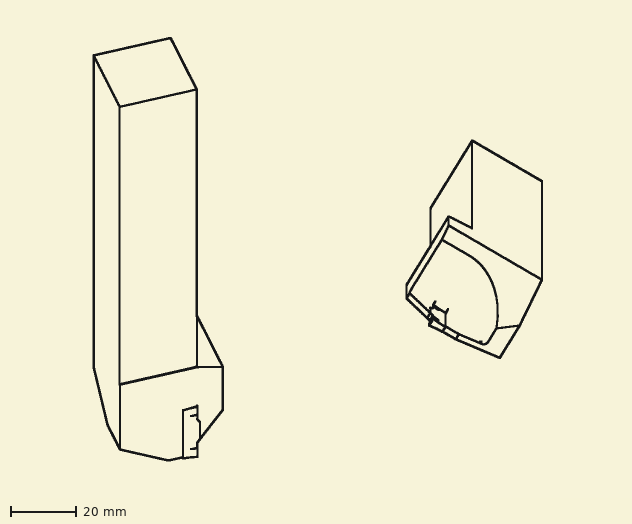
import cadquery as cq
import math

total_height = 151.35
shank_size = 25.0
head_depth = 33.4
head_offset = 0.24
head_side = shank_size + head_offset

shelf_top = 36.8
shelf_angle = 15.0

slant_top = 22.6
slant_angle = 43.5
front_corner = 10.0
front_angle = 30.0
back_corner = 16.8
blade_foot_height = 0.9

blade_thickness = 1.9
blade_face = head_side - blade_thickness
recess_radius = 18.6
recess_center_y = 23.6
recess_center_z = 0.1
recess_fillet = 1.5

insert_length = 20.7
insert_seat_y = 20.5
cutting_edge_y = 25.1
insert_back_y = 26.0
rake_floor_length = 5.5
rake_ramp_length = 1.4
end_relief_angle = 5.0
tip_length = 3.5
tip_overhang = 0.30
tip_depth = 2.8
tip_back_taper = 0.72


def tan(angle):
    return math.tan(math.radians(angle))


def make_insert_outline():
    """Closed side outline of the insert, raised between its two rake floors."""
    end_rise = (cutting_edge_y - insert_seat_y) * tan(end_relief_angle)
    ramp_end = rake_floor_length + rake_ramp_length
    outline = [
        (insert_seat_y, end_rise),
        (cutting_edge_y, 0),
        (cutting_edge_y, rake_floor_length),
        (insert_back_y, ramp_end),
        (insert_back_y, insert_length - ramp_end),
        (cutting_edge_y, insert_length - rake_floor_length),
        (cutting_edge_y, insert_length),
        (insert_seat_y, insert_length - end_rise),
    ]
    return cq.Workplane("YZ").polyline(outline).close()


def tip_section(plane, share):
    """Tapered cross section of a cutting tip, with the given share of its overhang."""
    overhang = tip_overhang * share
    bottom_y = cutting_edge_y - tip_depth * share
    return plane.polyline([
        (blade_face, bottom_y),
        (head_side, bottom_y),
        (head_side + overhang, cutting_edge_y),
        (blade_face - overhang, cutting_edge_y),
    ]).close()


def make_insert():
    """Insert as thick as the blade, with a wider cutting tip at each end."""
    body = make_insert_outline().extrude(blade_thickness).translate((blade_face, 0, 0))
    envelope = make_insert_outline().extrude(blade_thickness + 2 * tip_overhang)
    envelope = envelope.translate((blade_face - tip_overhang, 0, 0))
    tip = tip_section(cq.Workplane("XY"), 1)
    tip = tip_section(tip.workplane(offset=tip_length), tip_back_taper).loft(ruled=True)
    middle = (0, 0, insert_length / 2)
    for end in (tip, tip.mirror("XY", middle)):
        body = body.union(end.intersect(envelope))
    return body


def make_holder_outline():
    """Side outline of shank, head and blade, swept across the full width."""
    foot_front_y = (front_corner - blade_foot_height) / tan(front_angle)
    jaw_end_z = rake_floor_length + rake_ramp_length
    return cq.Workplane("YZ").polyline([
        (0, total_height),
        (0, front_corner),
        (foot_front_y, blade_foot_height),
        (insert_seat_y, blade_foot_height),
        (insert_seat_y, jaw_end_z),
        (insert_back_y, jaw_end_z),
        (head_depth, back_corner),
        (head_depth, shelf_top - (head_depth - shank_size) * tan(shelf_angle)),
        (shank_size, shelf_top),
        (shank_size, total_height),
    ]).close().extrude(head_side)


def make_shank_step():
    """Slab that sets the shank back from the head on the +X side."""
    return cq.Workplane("XY").box(
        head_offset, shank_size, total_height - shelf_top, centered=False
    ).translate((shank_size, 0, shelf_top))


def make_slant_cut():
    """Wedge below the slanted side."""
    drop = head_side * tan(slant_angle)
    return cq.Workplane("XZ").polyline([
        (0, slant_top),
        (head_side, slant_top - drop),
        (0, slant_top - drop),
    ]).close().extrude(-head_depth)


def make_recess():
    """Sharp-edged space beside the blade: a round front and a flat roof to the back."""
    reach = recess_radius * 2
    roof = recess_center_z + recess_radius
    diagonal = recess_radius * math.sqrt(0.5)
    return (
        cq.Workplane("YZ")
        .moveTo(recess_center_y - recess_radius, recess_center_z)
        .threePointArc(
            (recess_center_y - diagonal, recess_center_z + diagonal),
            (recess_center_y, roof),
        )
        .lineTo(recess_center_y + reach, roof)
        .lineTo(recess_center_y + reach, recess_center_z - reach)
        .lineTo(recess_center_y - recess_radius, recess_center_z - reach)
        .close()
        .extrude(blade_face)
    )


def make_holder(insert):
    """Shank, head and blade in one piece, with a pocket that matches the insert."""
    recess = make_recess()
    rounded_recess = recess.faces(">X").edges().fillet(recess_fillet)
    insert_access = make_insert_outline().extrude(blade_face).intersect(recess)
    holder = make_holder_outline().cut(make_shank_step()).cut(make_slant_cut())
    return holder.cut(rounded_recess).cut(insert_access).cut(insert)


insert = make_insert()
holder = make_holder(insert)

result = cq.Compound.makeCompound([holder.solids().val(), insert.solids().val()])